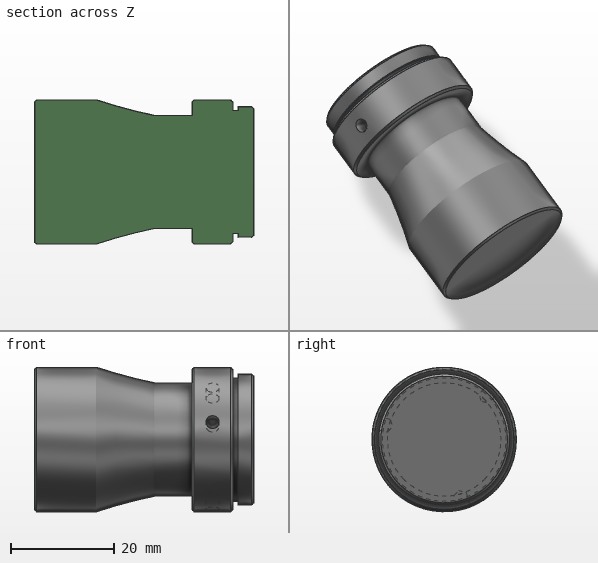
import cadquery as cq
import math

total_length = 42.5
head_length = 12.0
taper_end = 23.2
collar_start = 30.5
collar_end = 38.5
flange_start = 39.5

head_radius = 14.02
neck_radius = 11.0
groove_radius = 12.0
flange_radius = 12.7

head_chamfer = 0.4
collar_front_chamfer = 0.42
collar_back_chamfer = 0.5
flange_chamfer = 0.42

taper_bow = 0.15

screw_count = 3
screw_x = 34.5
screw_diameter = 2.55
screw_depth = 2.98
drill_point_angle = 120.0
first_screw_angle = 46.0


def turned_body():
    """Solid of revolution about X, with its front face at X = 0."""
    chord_x = taper_end - head_length
    chord_r = neck_radius - head_radius
    chord = math.hypot(chord_x, chord_r)
    taper_middle = (
        (head_length + taper_end) / 2 + taper_bow * chord_r / chord,
        (head_radius + neck_radius) / 2 - taper_bow * chord_x / chord,
    )
    profile = (
        cq.Workplane("XY")
        .lineTo(0, head_radius - head_chamfer)
        .lineTo(head_chamfer, head_radius)
        .lineTo(head_length, head_radius)
        .threePointArc(taper_middle, (taper_end, neck_radius))
        .lineTo(collar_start, neck_radius)
        .lineTo(collar_start, head_radius - collar_front_chamfer)
        .lineTo(collar_start + collar_front_chamfer, head_radius)
        .lineTo(collar_end - collar_back_chamfer, head_radius)
        .lineTo(collar_end, head_radius - collar_back_chamfer)
        .lineTo(collar_end, groove_radius)
        .lineTo(flange_start, groove_radius)
        .lineTo(flange_start, flange_radius)
        .lineTo(total_length - flange_chamfer, flange_radius)
        .lineTo(total_length, flange_radius - flange_chamfer)
        .lineTo(total_length, 0)
        .close()
    )
    return profile.revolve(360, (0, 0, 0), (1, 0, 0))


def screw_hole(angle):
    """Drilled hole with a conical bottom, pointing at the body axis."""
    radius = screw_diameter / 2
    floor = head_radius - screw_depth
    point_depth = radius / math.tan(math.radians(drill_point_angle / 2))
    drill = (
        cq.Workplane("XY")
        .moveTo(screw_x, floor - point_depth)
        .lineTo(screw_x + radius, floor)
        .lineTo(screw_x + radius, head_radius + radius)
        .lineTo(screw_x, head_radius + radius)
        .close()
        .revolve(360, (screw_x, 0, 0), (screw_x, 1, 0))
    )
    return drill.rotate((0, 0, 0), (1, 0, 0), angle)


result = turned_body()
for index in range(screw_count):
    result = result.cut(screw_hole(first_screw_angle + index * 360 / screw_count))